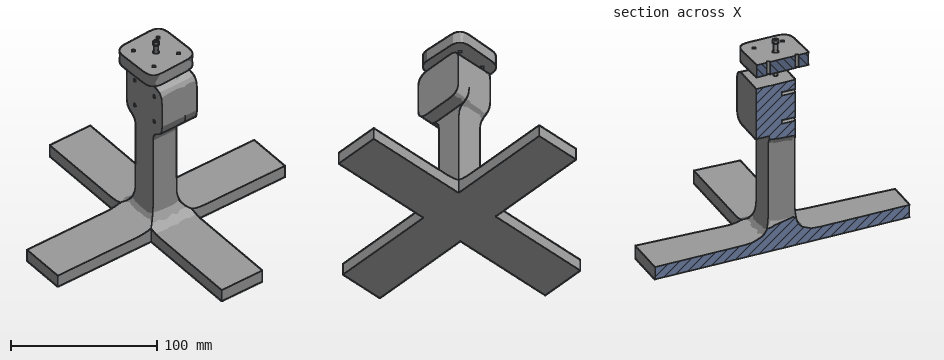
import cadquery as cq

stand_turn = -2.5
arm_span = 195.0
arm_width = 35.0
arm_thickness = 10.0
column_width = 20.0
flare_size = 20.0
head_width = 40.0
head_top = 130.0
head_back_depth = 10.0

corner_size = 10.0
corner_sharpness = 0.72
flare_sharpness = 0.76

shoulder_outer_height = 92.7
shoulder_inner_height = 87.5
neck_height = 81.3

plate_bottom = 138.5
plate_thickness = 10.0

screw_hole_diameter = 2.4
screw_hole_spacing = 22.0
head_hole_depth = 10.0

pin_top = 157.6
pin_diameter = 3.0
pin_head_diameter = 4.1
pin_head_height = 2.4
pin_head_fillet = 0.4
pin_socket_diameter = 2.0
pin_socket_depth = 1.2
pin_hole_diameter = 4.1

arm_half_span = arm_span / 2
column_half = column_width / 2
flare_top = arm_thickness + flare_size
head_half = head_width / 2
head_centre_height = head_top - head_half


def round_corner(outline, start, corner, end, sharpness=corner_sharpness):
    """Continue an outline that has reached start along a smooth curve to end, inside the corner."""
    handles = [
        tuple(p + sharpness * (c - p) for p, c in zip(point, corner))
        for point in (start, end)
    ]
    return outline.bezier([start, *handles, end])


def rounded_square(workplane, width):
    """Closed square outline with rounded corners, centred on the workplane."""
    half = width / 2
    flat = half - corner_size
    outline = workplane.moveTo(0, -half).lineTo(flat, -half)
    outline = round_corner(outline, (flat, -half), (half, -half), (half, -flat))
    outline = outline.lineTo(half, flat)
    outline = round_corner(outline, (half, flat), (half, half), (flat, half))
    return outline.lineTo(0, half).mirrorY()


def screw_holes(workplane, depth):
    """Four round cutters in a square pattern, extruded from the workplane."""
    pattern = workplane.rect(screw_hole_spacing, screw_hole_spacing, forConstruction=True).vertices()
    return pattern.circle(screw_hole_diameter / 2).extrude(depth)


def extrude_centred(outline, depth):
    """Solid of the given depth with the outline's plane halfway through it."""
    solid = outline.extrude(depth)
    return solid.translate(outline.plane.zDir * (-depth / 2))


def flared_block(plane):
    """Block under a profile that sweeps from the arm tops up to two opposite column faces."""
    flare_end = column_half + flare_size
    outline = cq.Workplane(plane).lineTo(arm_half_span, 0).lineTo(arm_half_span, arm_thickness)
    outline = outline.lineTo(flare_end, arm_thickness)
    outline = round_corner(
        outline,
        (flare_end, arm_thickness),
        (column_half, arm_thickness),
        (column_half, flare_top),
        flare_sharpness,
    )
    return extrude_centred(outline.lineTo(0, flare_top).mirrorY(), arm_span)


def make_foot():
    """Cross of two arms, flared up to the column on all four sides."""
    bottom_centred = (True, True, False)
    arm_x = cq.Workplane().box(arm_span, arm_width, flare_top, bottom_centred)
    arm_y = cq.Workplane().box(arm_width, arm_span, flare_top, bottom_centred)
    return arm_x.union(arm_y).intersect(flared_block("XZ")).intersect(flared_block("YZ"))


def make_column_and_head():
    """Column and the wider head on it, cut from one outline of column depth."""
    flat = head_half - corner_size
    head_side_bottom = head_centre_height - flat
    head_side_top = head_centre_height + flat
    shoulder_middle = (
        (column_half + head_half) / 2,
        (shoulder_inner_height + shoulder_outer_height) / 2,
    )
    neck = (column_half, neck_height)
    side_bottom = (head_half, head_side_bottom)
    side_top = (head_half, head_side_top)

    outline = cq.Workplane("XZ").moveTo(0, flare_top).lineTo(column_half, flare_top).lineTo(*neck)
    outline = round_corner(outline, neck, (column_half, shoulder_inner_height), shoulder_middle)
    outline = round_corner(outline, shoulder_middle, (head_half, shoulder_outer_height), side_bottom)
    outline = outline.lineTo(*side_top)
    outline = round_corner(outline, side_top, (head_half, head_top), (flat, head_top))
    return extrude_centred(outline.lineTo(0, head_top).mirrorY(), column_width)


def make_stand():
    """Foot, column and head as one solid, with blind screw holes in the front of the head."""
    back_plane = cq.Workplane("XZ", origin=(0, column_half, head_centre_height))
    front_plane = cq.Workplane("XZ", origin=(0, -column_half, head_centre_height))
    head_back = rounded_square(back_plane, head_width).extrude(-head_back_depth)
    stand = make_foot().union(make_column_and_head()).union(head_back)
    stand = stand.cut(screw_holes(front_plane, -head_hole_depth))
    return stand.rotate((0, 0, 0), (0, 0, 1), stand_turn)


def make_plate():
    """Rounded square plate with four screw holes and a clearance hole for the pin."""
    base = cq.Workplane(origin=(0, 0, plate_bottom))
    plate = rounded_square(base, head_width).extrude(plate_thickness)
    pin_hole = base.circle(pin_hole_diameter / 2).extrude(plate_thickness)
    return plate.cut(screw_holes(base, plate_thickness)).cut(pin_hole)


def make_pin():
    """Straight pin with a round head that has a rounded rim and a blind socket in its top."""
    head_bottom = pin_top - pin_head_height
    shaft_base = cq.Workplane(origin=(0, 0, head_top))
    shaft = shaft_base.circle(pin_diameter / 2).extrude(head_bottom - head_top)
    head_base = cq.Workplane(origin=(0, 0, head_bottom))
    head = head_base.circle(pin_head_diameter / 2).extrude(pin_head_height)
    head = head.faces(">Z").edges().fillet(pin_head_fillet)
    head = head.faces(">Z").workplane().circle(pin_socket_diameter / 2).cutBlind(-pin_socket_depth)
    return shaft.union(head)


stand = make_stand()
plate = make_plate()
pin = make_pin()

result = cq.Compound.makeCompound([stand.val(), plate.val(), pin.val()])